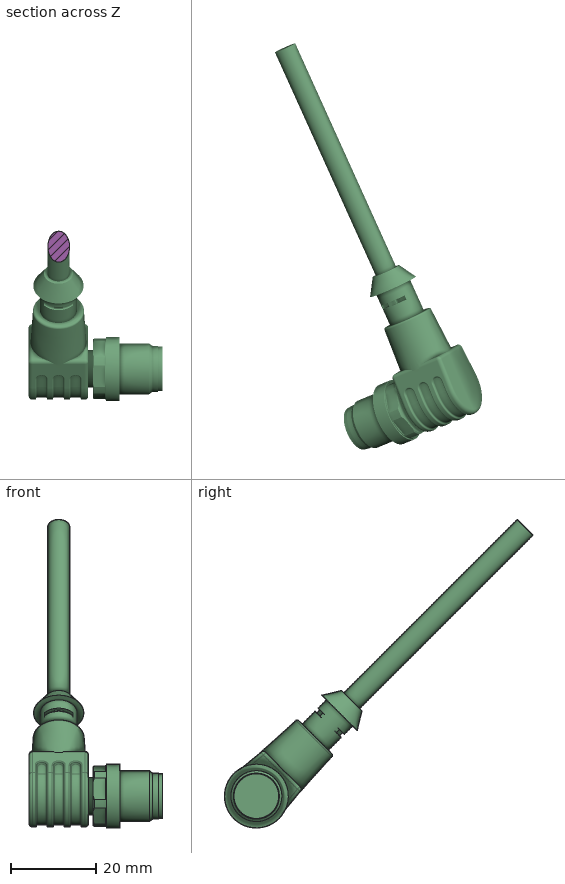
import cadquery as cq
import math

OVERALL_SIZE = 72.6
CABLE_TILT = 45.0

BODY_LENGTH = 14.0
BODY_RADIUS = 7.25
BODY_TOP = 8.85
BODY_TOP_HALF_WIDTH = 6.45
BODY_FILLET = 0.9

POCKET_COUNT = 3
POCKET_PITCH = 4.0
POCKET_WIDTH = 3.05
POCKET_ROUNDING = 0.26
POCKET_OVERCUT = 0.35
POCKET_END = 4.9

NECK_END = 15.1
HEX_END = 18.0
NUT_END = 18.2
FLANGE_END = 21.4
BARREL_END = 28.3
TAPER_END = 29.1
RING_END = 30.4
PLUG_END = 31.4
PLUG_NECK_DIAMETER = 8.8
NUT_DIAMETER = 14.4
NUT_SIDES = 6
NUT_ACROSS_FLATS = 13.35
NUT_CHAMFER = 0.3
FLANGE_DIAMETER = 15.0
BARREL_DIAMETER = 12.0
RING_DIAMETER = 10.8
TIP_DIAMETER = 10.5

SLEEVE_START = 8.0
SLEEVE_END = 19.6
COLLAR_START = 27.65
COLLAR_END = 31.7
SLEEVE_START_DIAMETER = 13.2
SLEEVE_END_DIAMETER = 12.0
SLEEVE_ROUNDING = 0.4
BOOT_DIAMETER = 8.7
COLLAR_DIAMETER = 11.8
COLLAR_END_DIAMETER = 6.8
CABLE_DIAMETER = 5.2

WINDOW_CENTER = 24.4
WINDOW_HEIGHT = 1.0
WINDOW_WIDTH = 6.75
WEB_WIDTH = 2.0
WEB_DEPTH = 7.55

tilt = math.radians(CABLE_TILT)
cable_reach = OVERALL_SIZE - FLANGE_DIAMETER / 2
cable_end = (cable_reach - CABLE_DIAMETER / 2 * math.sin(tilt)) / math.cos(tilt)

corner_distance = math.hypot(BODY_TOP_HALF_WIDTH, BODY_TOP)
flank_angle = math.atan2(BODY_TOP, BODY_TOP_HALF_WIDTH) - math.acos(BODY_RADIUS / corner_distance)
touch_y = BODY_RADIUS * math.cos(flank_angle)
touch_z = BODY_RADIUS * math.sin(flank_angle)
body_middle = BODY_LENGTH / 2


def plug_cylinder(start, end, diameter):
    """Cylinder on the plug axis between two X stations."""
    return cq.Workplane("YZ", origin=(start, 0, 0)).circle(diameter / 2).extrude(end - start)


def cable_cylinder(start, end, diameter):
    """Cylinder on the cable axis between two Z stations."""
    return cq.Workplane("XY", origin=(body_middle, 0, start)).circle(diameter / 2).extrude(end - start)


def cable_cone(start, end, start_diameter, end_diameter):
    """Truncated cone on the cable axis between two Z stations."""
    return (
        cq.Workplane("XY", origin=(body_middle, 0, start))
        .circle(start_diameter / 2)
        .workplane(offset=end - start)
        .circle(end_diameter / 2)
        .loft()
    )


def make_body():
    """Block with a round lower end, tapering towards its flat top, with all edges rounded."""
    return (
        cq.Workplane("YZ")
        .moveTo(-BODY_TOP_HALF_WIDTH, BODY_TOP)
        .lineTo(-touch_y, touch_z)
        .threePointArc((0, -BODY_RADIUS), (touch_y, touch_z))
        .lineTo(BODY_TOP_HALF_WIDTH, BODY_TOP)
        .close()
        .extrude(BODY_LENGTH)
        .edges()
        .fillet(BODY_FILLET)
    )


def half_pocket_section(plane):
    """Half of the pocket cross-section: X across the pocket, Y out of the surface.

    The wall is an S: a rounded floor corner that flows into a rounded rim.
    """
    rim = POCKET_WIDTH / 2
    wall = rim - POCKET_ROUNDING
    floor = wall - POCKET_ROUNDING
    arc_offset = POCKET_ROUNDING * math.sin(math.radians(45))
    return (
        cq.Workplane(plane)
        .moveTo(0, -2 * POCKET_ROUNDING)
        .lineTo(floor, -2 * POCKET_ROUNDING)
        .threePointArc((floor + arc_offset, -POCKET_ROUNDING - arc_offset), (wall, -POCKET_ROUNDING))
        .threePointArc((rim - arc_offset, -POCKET_ROUNDING + arc_offset), (rim, 0))
        .lineTo(rim, POCKET_OVERCUT)
        .lineTo(0, POCKET_OVERCUT)
        .close()
    )


def make_flank_pocket():
    """Pocket on the -Y flank: a straight run that stops in a round end."""
    upward = cq.Vector(0, math.sin(flank_angle), math.cos(flank_angle))
    start = cq.Vector(0, -touch_y, touch_z)
    run = (POCKET_END - touch_z) / math.cos(flank_angle) - POCKET_WIDTH / 2
    end = start + upward * run
    end_plane = cq.Plane(origin=end, xDir=(1, 0, 0), normal=upward * -1)
    straight = half_pocket_section(end_plane).extrude(run)
    straight = straight.union(straight.mirror("YZ"))
    round_end = half_pocket_section(end_plane).revolve(360, (0, 0, 0), (0, 1, 0))
    return straight.union(round_end)


def make_pocket():
    """Pocket that runs up one flank, around the round end and up the other flank."""
    wrap_angle = 180 + 2 * math.degrees(flank_angle)
    bottom_plane = cq.Plane(origin=(0, 0, -BODY_RADIUS), xDir=(1, 0, 0), normal=(0, 1, 0))
    wrap = half_pocket_section(bottom_plane).revolve(wrap_angle, (0, -BODY_RADIUS, 0), (1, -BODY_RADIUS, 0))
    wrap = wrap.rotate((0, 0, 0), (1, 0, 0), wrap_angle / -2)
    wrap = wrap.union(wrap.mirror("YZ"))
    flank = make_flank_pocket()
    return wrap.union(flank).union(flank.mirror("XZ"))


def make_nut():
    """Hexagon with turned-off corners and a thin round shoulder behind it."""
    across_corners = NUT_ACROSS_FLATS / math.cos(math.pi / NUT_SIDES)
    hexagon = (
        cq.Workplane("YZ", origin=(NECK_END, 0, 0))
        .polygon(NUT_SIDES, across_corners)
        .extrude(HEX_END - NECK_END)
    )
    turned = plug_cylinder(NECK_END, HEX_END, NUT_DIAMETER).faces("<X").chamfer(NUT_CHAMFER)
    return hexagon.intersect(turned).union(plug_cylinder(HEX_END, NUT_END, NUT_DIAMETER))


def make_barrel():
    """Barrel with a short taper down to two rings at its tip."""
    return (
        cq.Workplane("XY")
        .moveTo(FLANGE_END, 0)
        .lineTo(FLANGE_END, BARREL_DIAMETER / 2)
        .lineTo(BARREL_END, BARREL_DIAMETER / 2)
        .lineTo(TAPER_END, RING_DIAMETER / 2)
        .lineTo(RING_END, RING_DIAMETER / 2)
        .lineTo(RING_END, TIP_DIAMETER / 2)
        .lineTo(PLUG_END, TIP_DIAMETER / 2)
        .lineTo(PLUG_END, 0)
        .close()
        .revolve(360, (0, 0, 0), (1, 0, 0))
    )


def make_window():
    """Cross window through the boot, less the cable and the web left standing in it."""
    opening = cq.Workplane("XY").box(WINDOW_WIDTH, BOOT_DIAMETER, WINDOW_HEIGHT)
    web = cq.Workplane("XY").box(WEB_WIDTH, WEB_DEPTH, WINDOW_HEIGHT)
    core = cq.Workplane("XY").cylinder(WINDOW_HEIGHT, CABLE_DIAMETER / 2)
    return opening.cut(web).cut(core).translate((body_middle, 0, WINDOW_CENTER))


body = make_body()
pocket = make_pocket()
for index in range(POCKET_COUNT):
    pocket_x = body_middle + (index - (POCKET_COUNT - 1) / 2) * POCKET_PITCH
    body = body.cut(pocket.translate((pocket_x, 0, 0)))

plug = (
    plug_cylinder(body_middle, NECK_END, PLUG_NECK_DIAMETER)
    .union(make_nut())
    .union(plug_cylinder(NUT_END, FLANGE_END, FLANGE_DIAMETER))
    .union(make_barrel())
)

sleeve = cable_cone(SLEEVE_START, SLEEVE_END, SLEEVE_START_DIAMETER, SLEEVE_END_DIAMETER)
sleeve = sleeve.faces(">Z").edges().fillet(SLEEVE_ROUNDING)
boot = cable_cylinder(SLEEVE_END, COLLAR_START, BOOT_DIAMETER).cut(make_window())
collar = cable_cone(COLLAR_START, COLLAR_END, COLLAR_DIAMETER, COLLAR_END_DIAMETER)
cable = cable_cylinder(COLLAR_END, cable_end, CABLE_DIAMETER)

result = (
    body.union(sleeve)
    .union(boot)
    .union(collar)
    .union(cable)
    .union(plug)
    .rotate((0, 0, 0), (1, 0, 0), -CABLE_TILT)
)